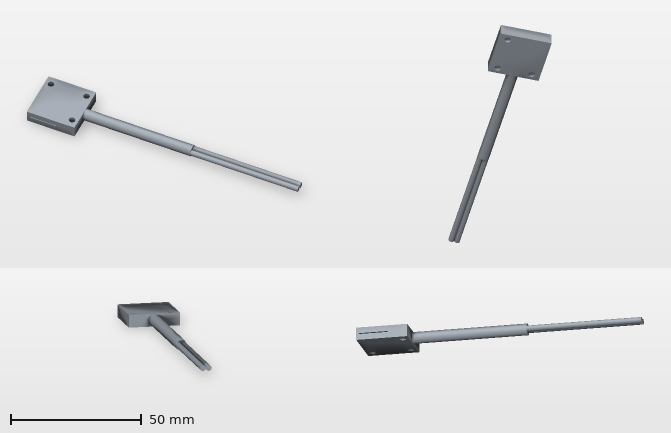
import cadquery as cq

total_length = 110.0
block_side = 20.0
block_height = 5.0

window_depth = 1.2
lip_height = 0.3
slit_start = 1.1
slit_length = 11.1
slit_height = 0.3

hole_diameter = 2.5
hole_inset_x = 2.5
hole_inset_y = 3.3

cable_diameter = 4.5
jacket_length = 45.0
lead_diameter = 2.2
lead_gap = 0.05

half_side = block_side / 2
window_height = block_height - 2 * lip_height
jacket_end = block_side + jacket_length
lead_length = total_length - jacket_end
lead_offset = (lead_diameter + lead_gap) / 2


def make_window_blank():
    """Plate volume, flush with the -X, +X and -Y faces of the block."""
    return (
        cq.Workplane("XY")
        .box(block_side, window_depth, window_height, centered=(False, False, True))
        .translate((0, -half_side, 0))
    )


def make_block():
    """Square block with three through holes and a recess for the window."""
    near_x = hole_inset_x
    far_x = block_side - hole_inset_x
    hole_y = half_side - hole_inset_y
    hole_centres = [(near_x, hole_y), (far_x, hole_y), (far_x, -hole_y)]

    block = cq.Workplane("XY").box(
        block_side, block_side, block_height, centered=(False, True, True)
    )
    holes = (
        cq.Workplane("XY")
        .pushPoints(hole_centres)
        .circle(hole_diameter / 2)
        .extrude(block_height, both=True)
    )
    return block.cut(holes).cut(make_window_blank())


def make_rod(start_x, length, diameter, centre_y=0):
    """Round rod running along +X."""
    return (
        cq.Workplane("YZ", origin=(start_x, centre_y, 0))
        .circle(diameter / 2)
        .extrude(length)
    )


def make_housing():
    """Block with its jacketed cable ending in two parallel leads."""
    housing = make_block().union(make_rod(block_side, jacket_length, cable_diameter))
    for side in (-1, 1):
        lead = make_rod(jacket_end, lead_length, lead_diameter, side * lead_offset)
        housing = housing.union(lead)
    return housing


def make_window():
    """Window plate with a narrow slit through its thickness."""
    slit = (
        cq.Workplane("XY")
        .box(slit_length, window_depth, slit_height, centered=(False, False, True))
        .translate((slit_start, -half_side, 0))
    )
    return make_window_blank().cut(slit)


housing = make_housing()
window = make_window()

result = cq.Compound.makeCompound([housing.solids().val(), window.solids().val()])